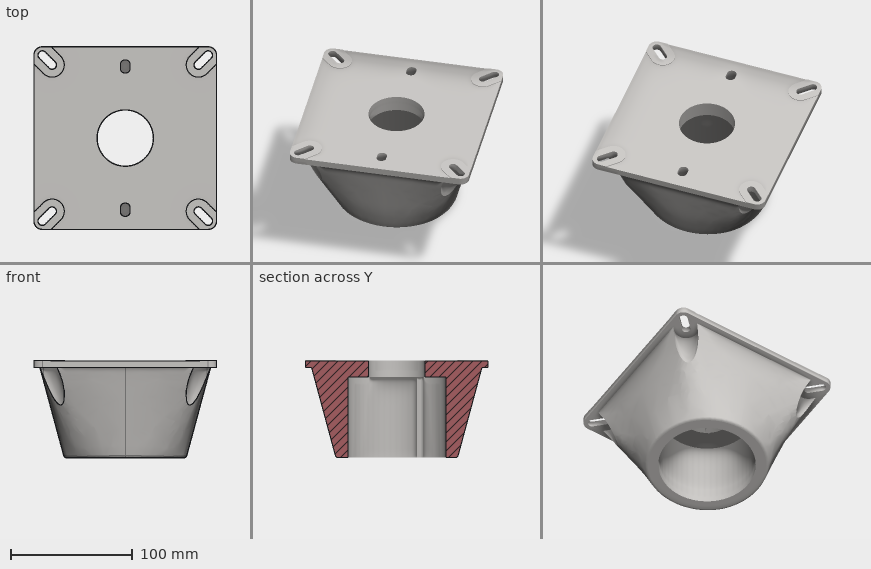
import cadquery as cq
import math

PLATE_SIDE = 150.0
PLATE_CORNER_RADIUS = 7.0
PLATE_BOTTOM_Z = 74.0
PLATE_TOP_Z = 79.5

OVERALL_HEIGHT = 80.0
SLOT_INNER_OFFSET = 60.0
SLOT_OUTER_OFFSET = 68.0
SLOT_RADIUS = 3.5
PAD_RADIUS = 10.0

BODY_TOP_HALF = 70.0
BODY_TOP_CORNER_RADIUS = 16.0
FOOT_RADIUS = 50.0
FOOT_FILLET = 2.5

BORE_DIAMETER = 46.0
CAVITY_RADIUS = 40.0
CAVITY_TOP_Z = 66.0

RIB_INNER_RADIUS = 34.3
RIB_POSITION_ANGLE = 56.8
RIB_DIRECTION_ANGLE = 72.0
RIB_WIDTH = 3.8
RIB_LENGTH = 8.0

OBROUND_LENGTH = 11.0
OBROUND_WIDTH = 8.0
OBROUND_OFFSET = 58.75
OBROUND_FLOOR_Z = CAVITY_TOP_Z

DIAGONAL_ANGLES = (45.0, 135.0, 225.0, 315.0)


def plate_blank(bottom_z, top_z):
    """Rounded square slab between two heights."""
    return (
        cq.Workplane("XY", origin=(0, 0, bottom_z))
        .rect(PLATE_SIDE, PLATE_SIDE)
        .extrude(top_z - bottom_z)
        .edges("|Z")
        .fillet(PLATE_CORNER_RADIUS)
    )


def diagonal_slot(angle, inner, outer, radius, bottom_z, top_z):
    """Upright obround prism whose arc centres lie on a diagonal of the plate."""
    inner_distance = inner * math.sqrt(2)
    outer_distance = outer * math.sqrt(2)
    return (
        cq.Workplane("XY", origin=(0, 0, bottom_z))
        .center((inner_distance + outer_distance) / 2, 0)
        .slot2D(outer_distance - inner_distance + 2 * radius, 2 * radius)
        .extrude(top_z - bottom_z)
        .rotate((0, 0, 0), (0, 0, 1), angle)
    )


def body_top_quarter():
    """Quarter of the rounded square as one smooth curve between the middles of adjacent sides."""
    half = BODY_TOP_HALF
    straight_end = half - BODY_TOP_CORNER_RADIUS
    arc_middle = straight_end + BODY_TOP_CORNER_RADIUS / math.sqrt(2)
    along_y = cq.Vector(0, 1, 0)
    along_diagonal = cq.Vector(-1, 1, 0).normalized()
    along_x = cq.Vector(-1, 0, 0)
    points = [
        cq.Vector(x, y, PLATE_BOTTOM_Z)
        for x, y in (
            (half, 0),
            (half, straight_end),
            (arc_middle, arc_middle),
            (straight_end, half),
            (0, half),
        )
    ]
    return cq.Edge.makeSpline(points, tangents=[along_y, along_y, along_diagonal, along_x, along_x])


def foot_quarter():
    """Quarter of the foot circle."""
    middle = FOOT_RADIUS / math.sqrt(2)
    return cq.Edge.makeThreePointArc(
        cq.Vector(FOOT_RADIUS, 0, 0), cq.Vector(middle, middle, 0), cq.Vector(0, FOOT_RADIUS, 0)
    )


def closed_outline(quarter):
    """Wire made from a quarter outline repeated around the Z axis."""
    origin = cq.Vector(0, 0, 0)
    axis = cq.Vector(0, 0, 1)
    edges = [quarter.rotate(origin, axis, turn) for turn in (0, 90, 180, 270)]
    return cq.Wire.assembleEdges(edges)


def tapered_body():
    """Ruled loft from the round foot to the rounded square, with a softened foot edge."""
    foot = closed_outline(foot_quarter())
    top = closed_outline(body_top_quarter())
    loft = cq.Workplane(cq.Solid.makeLoft([foot, top], True))
    return loft.faces("<Z").edges().fillet(FOOT_FILLET)


def cavity():
    """Round cavity open at the foot, less the rib left standing on its wall."""
    position = math.radians(RIB_POSITION_ANGLE)
    rib = (
        cq.Workplane("XY")
        .center(RIB_LENGTH / 2, 0)
        .rect(RIB_LENGTH, RIB_WIDTH)
        .extrude(CAVITY_TOP_Z)
        .rotate((0, 0, 0), (0, 0, 1), RIB_DIRECTION_ANGLE)
        .translate((RIB_INNER_RADIUS * math.cos(position), RIB_INNER_RADIUS * math.sin(position), 0))
    )
    return cq.Workplane("XY").circle(CAVITY_RADIUS).extrude(CAVITY_TOP_Z).cut(rib)


def obround_holes():
    """Pair of blind obround holes, long side along Y."""
    return (
        cq.Workplane("XY", origin=(0, 0, OBROUND_FLOOR_Z))
        .pushPoints([(0, OBROUND_OFFSET), (0, -OBROUND_OFFSET)])
        .slot2D(OBROUND_LENGTH, OBROUND_WIDTH, 90)
        .extrude(PLATE_TOP_Z - OBROUND_FLOOR_Z)
    )


def build_part():
    body = tapered_body()
    for angle in DIAGONAL_ANGLES:
        pocket = diagonal_slot(angle, SLOT_INNER_OFFSET, PLATE_SIDE / 2, PAD_RADIUS, 0, PLATE_BOTTOM_Z)
        body = body.cut(pocket)

    part = plate_blank(PLATE_BOTTOM_Z, PLATE_TOP_Z).union(body)

    pad_blank = plate_blank(PLATE_BOTTOM_Z, OVERALL_HEIGHT)
    for angle in DIAGONAL_ANGLES:
        pad = diagonal_slot(
            angle, SLOT_INNER_OFFSET, PLATE_SIDE / 2, PAD_RADIUS, PLATE_BOTTOM_Z, OVERALL_HEIGHT
        )
        part = part.union(pad.intersect(pad_blank))

    for angle in DIAGONAL_ANGLES:
        slot = diagonal_slot(
            angle, SLOT_INNER_OFFSET, SLOT_OUTER_OFFSET, SLOT_RADIUS, PLATE_BOTTOM_Z, OVERALL_HEIGHT
        )
        part = part.cut(slot)

    bore = cq.Workplane("XY").circle(BORE_DIAMETER / 2).extrude(OVERALL_HEIGHT)
    return part.cut(bore).cut(cavity()).cut(obround_holes())


result = build_part()